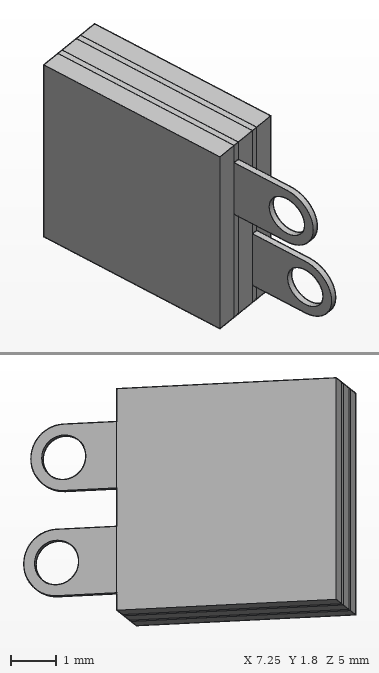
import cadquery as cq

total_length = 7.25
block_side = 5.0
stack_depth = 1.8
plate_thickness = 0.5
plate_count = 3
tab_width = 1.5
hole_diameter = 1.0

electrode_count = plate_count - 1
electrode_thickness = (stack_depth - plate_count * plate_thickness) / electrode_count
layer_pitch = plate_thickness + electrode_thickness
tab_radius = tab_width / 2
tab_eye_x = total_length - tab_radius
tab_height = block_side / 4


def square_layer(front_y, thickness):
    """Full-size square layer from front_y toward +Y, left edge at X = 0, centred on Z = 0."""
    return cq.Workplane("XY").box(
        block_side, thickness, block_side, centered=(False, False, True)
    ).translate((0, front_y, 0))


def plate(front_y):
    """Plain square plate."""
    return square_layer(front_y, plate_thickness)


def electrode(front_y, tab_z):
    """Thin square sheet with a round-ended, pierced tab on its +X edge."""
    back_plane = cq.Workplane("XZ", origin=(0, front_y + electrode_thickness, 0))
    tab = (
        back_plane.moveTo(block_side, tab_z - tab_radius)
        .lineTo(tab_eye_x, tab_z - tab_radius)
        .threePointArc((total_length, tab_z), (tab_eye_x, tab_z + tab_radius))
        .lineTo(block_side, tab_z + tab_radius)
        .close()
        .extrude(electrode_thickness)
    )
    hole = (
        back_plane.center(tab_eye_x, tab_z)
        .circle(hole_diameter / 2)
        .extrude(electrode_thickness)
    )
    return square_layer(front_y, electrode_thickness).union(tab).cut(hole)


stack_front = -stack_depth / 2
plates = [plate(stack_front + i * layer_pitch) for i in range(plate_count)]

tab_positions = [tab_height, -tab_height]
electrodes = [
    electrode(stack_front + plate_thickness + i * layer_pitch, tab_z)
    for i, tab_z in enumerate(tab_positions)
]

result = cq.Compound.makeCompound([body.val() for body in plates + electrodes])